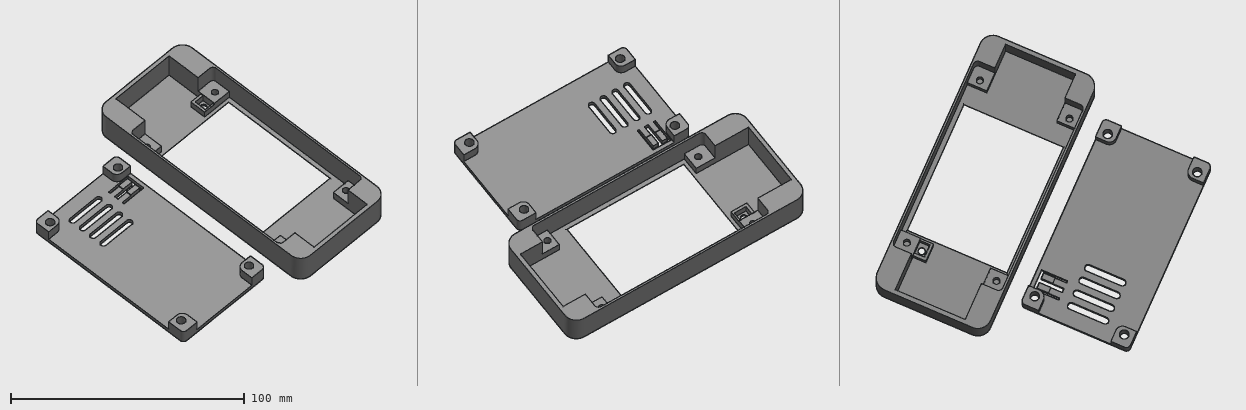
import cadquery as cq

overall_y = 111.8
screw_x = 2.9
screw_pitch_x = 78.1
screw_pitch_y = 42.0

housing_length = 122.0
housing_width = 53.1
housing_height = 14.2
housing_corner_radius = 6.0
floor_thickness = 1.1
end_wall = 2.0
end_cavity_width = 32.8
window_length = 60.4
window_width = 46.6
recess_length = 89.3
recess_width = 51.1
recess_depth = 9.2
recess_corner_radius = 2.0
pad_left_inner_x = -32.0
pad_right_inner_x = 38.9
pilot_diameter = 3.0

led_box_length = 8.2
led_box_height = 3.3
led_box_reach = 6.1
led_box_wall = 1.3
led_box_inner_wall = 0.9
led_hole_diameter = 3.0
led_hole_y = 14.0

lid_length = 88.8
lid_width = 50.6
lid_thickness = 2.0
lid_center_x = 3.2
lid_corner_radius = 2.0
boss_height = 7.0
boss_reach_x = 3.3
boss_reach_y = 4.0
boss_corner_radius = 3.2
boss_blank = 22.0
clearance_diameter = 4.0

slot_count = 4
slot_pitch = 6.1
slot_width = 3.0
slot_length = 19.0
first_slot_x = -32.7
slot_center_y = -62.5

tab_width = 2.7
tab_side_gap = 1.0
tab_middle_gap = 2.0
tab_tip_gap = 1.3
tab_window_y = -36.5
tab_cut_length = 12.1
tab_pair_x = -27.8
tab_head_length = 5.5
tab_head_rise = 0.5

screw_xs = [screw_x - screw_pitch_x / 2, screw_x + screw_pitch_x / 2]
screw_ys = [-screw_pitch_y / 2, screw_pitch_y / 2]
pad_top = housing_height - recess_depth
led_box_top = floor_thickness + led_box_height
lid_min_y = housing_width / 2 - overall_y
lid_center_y = lid_min_y + lid_width / 2


def block(x_min, x_max, y_min, y_max, z_min, z_max):
    """Axis-aligned box given by its limits."""
    size = (x_max - x_min, y_max - y_min, z_max - z_min)
    return cq.Workplane("XY").box(*size, centered=False).translate((x_min, y_min, z_min))


def rounded_plate(length, width, height, radius):
    """Plate centred in X and Y, standing on Z = 0, with rounded vertical edges."""
    return (
        cq.Workplane("XY")
        .box(length, width, height, centered=(True, True, False))
        .edges("|Z")
        .fillet(radius)
    )


def rod(x, y, diameter, z_min, z_max):
    """Vertical cylinder used as a drill."""
    return cq.Workplane("XY", origin=(x, y, z_min)).circle(diameter / 2).extrude(z_max - z_min)


def make_cavity():
    """Lid recess down to the pads, plus the two crossing pockets down to the floor."""
    recess = rounded_plate(recess_length, recess_width, recess_depth, recess_corner_radius)
    end_x = housing_length / 2 - end_wall
    long_pocket = block(
        -end_x, end_x,
        -end_cavity_width / 2, end_cavity_width / 2,
        floor_thickness, housing_height,
    )
    wide_pocket = block(
        pad_left_inner_x, pad_right_inner_x,
        -recess_width / 2, recess_width / 2,
        floor_thickness, housing_height,
    )
    return recess.translate((screw_x, 0, pad_top)).union(long_pocket).union(wide_pocket)


def make_window():
    """Display opening that flares outward at 45 degrees from the inner floor to the outside."""
    outside_length = window_length + 2 * floor_thickness
    outside_width = window_width + 2 * floor_thickness
    return (
        cq.Workplane("XY")
        .rect(outside_length, outside_width)
        .extrude(floor_thickness, taper=45)
    )


def make_led_box():
    """Three-sided box whose fourth side is the face of the screw pad."""
    x_max = pad_left_inner_x
    x_min = x_max - led_box_length
    y_max = end_cavity_width / 2
    y_min = y_max - led_box_reach
    outer = block(x_min, x_max, y_min, y_max, floor_thickness, led_box_top)
    inner = block(
        x_min + led_box_wall, x_max - led_box_inner_wall,
        y_min + led_box_wall, y_max,
        floor_thickness, led_box_top,
    )
    return outer.cut(inner)


def make_housing():
    body = rounded_plate(housing_length, housing_width, housing_height, housing_corner_radius)
    body = body.cut(make_cavity())
    body = body.cut(make_window()).union(make_led_box())
    for x in screw_xs:
        for y in screw_ys:
            body = body.cut(rod(x, y, pilot_diameter, floor_thickness, pad_top))
    return body.cut(rod(screw_xs[0], led_hole_y, led_hole_diameter, 0, floor_thickness))


def add_bosses(lid):
    """Corner bosses that follow the lid outline and are rounded on their inner corner."""
    outline = rounded_plate(lid_length, lid_width, boss_height, lid_corner_radius)
    outline = outline.translate((lid_center_x, lid_center_y, 0))
    for x, inward_x in zip(screw_xs, (1, -1)):
        for y, inward_y in zip(screw_ys, (1, -1)):
            boss = rounded_plate(boss_blank, boss_blank, boss_height, boss_corner_radius)
            boss = boss.translate((
                x + inward_x * (boss_reach_x - boss_blank / 2),
                lid_center_y + y + inward_y * (boss_reach_y - boss_blank / 2),
                0,
            ))
            lid = lid.union(boss.intersect(outline))
    for x in screw_xs:
        for y in screw_ys:
            lid = lid.cut(rod(x, lid_center_y + y, clearance_diameter, 0, boss_height))
    return lid


def cut_slots(lid):
    for i in range(slot_count):
        slot = (
            cq.Workplane("XY", origin=(first_slot_x + i * slot_pitch, slot_center_y, 0))
            .slot2D(slot_length, slot_width, 90)
            .extrude(lid_thickness)
        )
        lid = lid.cut(slot)
    return lid


def add_tabs(lid):
    """Cut an opening, then fill in two tabs with a thicker head at the tip."""
    opening_half = tab_middle_gap / 2 + tab_width + tab_side_gap
    root_y = tab_window_y - tab_cut_length
    tip_y = tab_window_y - tab_tip_gap
    lid = lid.cut(block(
        tab_pair_x - opening_half, tab_pair_x + opening_half,
        root_y, tab_window_y,
        0, lid_thickness,
    ))
    for side in (-1, 1):
        x = tab_pair_x + side * (tab_middle_gap + tab_width) / 2
        x_min = x - tab_width / 2
        x_max = x + tab_width / 2
        tab = block(x_min, x_max, root_y, tip_y, 0, lid_thickness)
        head = block(x_min, x_max, tip_y - tab_head_length, tip_y, 0, lid_thickness + tab_head_rise)
        lid = lid.union(tab).union(head)
    return lid


def make_lid():
    lid = rounded_plate(lid_length, lid_width, lid_thickness, lid_corner_radius)
    lid = lid.translate((lid_center_x, lid_center_y, 0))
    return add_tabs(cut_slots(add_bosses(lid)))


housing = make_housing()
lid = make_lid()

result = cq.Compound.makeCompound([housing.val(), lid.val()])